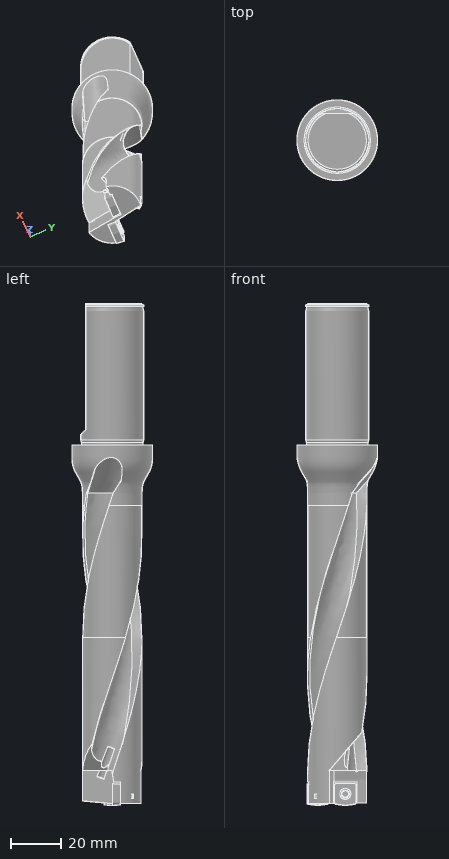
import cadquery as cq
import math

TOTAL_LENGTH = 199.0

SHANK_RADIUS = 12.5
SHANK_END_RADIUS = 11.5
SHANK_END_CHAMFER = 0.5
END_GROOVE_START = 1.2
END_GROOVE_FLOOR_END = 1.8
END_GROOVE_STOP = 3.0
GROOVE_RADIUS = 24.5 / 2
SHANK_LENGTH = 56.0
FLAT_DISTANCE = 10.5
FLAT_GAP = 4.0
FLAT_RUNOUT = SHANK_RADIUS - FLAT_DISTANCE
UNDERCUT_OUTER_RADIUS = 13.1
UNDERCUT_LENGTH = 1.8
UNDERCUT_DEPTH = 0.4

COLLAR_RADIUS = 32.0 / 2
COLLAR_TOP = TOTAL_LENGTH - SHANK_LENGTH
COLLAR_RIM = 4.8
COLLAR_BLEND_LENGTH = 14.5
BLEND_FULLNESS = 0.55

BODY_RADIUS = 23.7 / 2
RELIEF_RADIUS = 23.5 / 2
RELIEF_BOTTOM = 66.7
RELIEF_TOP = 119.0
BODY_BOTTOM = 0.8

FLUTE_HALF_WIDTH = 6.2
FLUTE_FLOOR = 4.4
FLUTE_LEADING_DEPTH = 9.0
FLUTE_CREASE_DEPTH = 5.8
FLUTE_CREASE_OFFSET = 5.4
FLUTE_TWIST = 1.633
FLUTE_ANGLE_AT_TIP = 129.1
FLUTE_BOTTOM = 13.0
FLUTE_TOP = 124.0
FLUTE_EXIT_HEIGHT = 12.0
FLUTE_EXIT_RADIAL = 1.3
FLUTE_EXIT_TANGENTIAL = 1.4
OUTSIDE = 23.9

GASH_TOP = 14.0
GASH_RAMP_BOTTOM = 10.3
GASH_RAMP_DEPTH = 0.5
GASH_WALL_EDGE = -3.2
INNER_GASH_FLOOR = 2.4
INNER_GASH_WALL_ROOT = -1.2
OUTER_GASH_FLOOR = 0.4
OUTER_GASH_WALL_EDGE = 1.2
OUTER_GASH_WALL_ROOT = 3.2
RUNOUT_TOP = 28.9
RUNOUT_TOP_X = 9.5
RUNOUT_FLOOR = -1.5
END_RELIEF_ANGLE = 5.0

INSERT_WIDTH = 8.5
INSERT_HEIGHT = 8.2
INSERT_THICKNESS = 3.2
INSERT_POINT = 0.5
INSERT_CORNER = 0.5
INSERT_TAPER = 5.0
INNER_INSERT_X = 3.2
OUTER_INSERT_X = 7.8
POCKET_GAP = 0.5
INSERT_SINK_DIAMETER = 4.4
INSERT_SINK_DEPTH = 1.0
INSERT_HOLE_DIAMETER = 3.2
SCREW_HOLE_DIAMETER = 2.5
SCREW_HOLE_DEPTH = 3.2

COOLANT_DIAMETER = 3.2
COOLANT_LOW = cq.Vector(2.8, -4.8, 11.0)
COOLANT_HIGH = cq.Vector(5.2, -0.5, 22.9)

MARK_ANGLE = 223.0
MARK_WIDTH = 0.8
MARK_HEIGHT = 1.8
MARK_DEPTH = 0.5
MARK_Z = 3.8


def half_turn(shape):
    return shape.rotate((0, 0, 0), (0, 0, 1), 180)


def make_blank():
    """Turned blank: body, collar and shank as one profile revolved about Z."""
    rim_bottom = COLLAR_TOP - COLLAR_RIM
    blend_bottom = rim_bottom - COLLAR_BLEND_LENGTH
    handle = BLEND_FULLNESS * COLLAR_BLEND_LENGTH
    return (
        cq.Workplane("XZ")
        .moveTo(0, BODY_BOTTOM)
        .lineTo(BODY_RADIUS, BODY_BOTTOM)
        .lineTo(BODY_RADIUS, RELIEF_BOTTOM)
        .lineTo(RELIEF_RADIUS, RELIEF_BOTTOM)
        .lineTo(RELIEF_RADIUS, RELIEF_TOP)
        .lineTo(BODY_RADIUS, RELIEF_TOP)
        .lineTo(BODY_RADIUS, blend_bottom)
        .bezier(
            [
                (BODY_RADIUS, blend_bottom + handle),
                (COLLAR_RADIUS, rim_bottom - handle),
                (COLLAR_RADIUS, rim_bottom),
            ],
            includeCurrent=True,
        )
        .lineTo(COLLAR_RADIUS, COLLAR_TOP)
        .lineTo(UNDERCUT_OUTER_RADIUS, COLLAR_TOP)
        .lineTo(GROOVE_RADIUS, COLLAR_TOP - UNDERCUT_DEPTH)
        .lineTo(GROOVE_RADIUS, COLLAR_TOP + UNDERCUT_LENGTH / 2)
        .lineTo(SHANK_RADIUS, COLLAR_TOP + UNDERCUT_LENGTH)
        .lineTo(SHANK_RADIUS, TOTAL_LENGTH - END_GROOVE_STOP)
        .lineTo(GROOVE_RADIUS, TOTAL_LENGTH - END_GROOVE_FLOOR_END)
        .lineTo(GROOVE_RADIUS, TOTAL_LENGTH - END_GROOVE_START)
        .lineTo(SHANK_RADIUS, TOTAL_LENGTH - END_GROOVE_START)
        .lineTo(SHANK_RADIUS, TOTAL_LENGTH - SHANK_END_CHAMFER)
        .lineTo(SHANK_END_RADIUS, TOTAL_LENGTH)
        .lineTo(0, TOTAL_LENGTH)
        .close()
        .revolve(360, (0, 0, 0), (0, 1, 0))
    )


def make_shank_flat():
    """Cutter for the clamping flat, with a 45 degree run-out at its lower end."""
    flat_bottom = COLLAR_TOP + FLAT_GAP
    return (
        cq.Workplane("YZ")
        .moveTo(FLAT_DISTANCE, TOTAL_LENGTH)
        .lineTo(FLAT_DISTANCE, flat_bottom + FLAT_RUNOUT)
        .lineTo(FLAT_DISTANCE + FLAT_RUNOUT, flat_bottom)
        .lineTo(FLAT_DISTANCE + FLAT_RUNOUT, TOTAL_LENGTH)
        .close()
        .extrude(SHANK_RADIUS, both=True)
    )


def flute_section(height, angle):
    """Open slot across the body: rounded floor and leading side, flat trailing wall."""
    return (
        cq.Workplane("XY")
        .moveTo(OUTSIDE, -FLUTE_HALF_WIDTH)
        .lineTo(FLUTE_LEADING_DEPTH, -FLUTE_HALF_WIDTH)
        .threePointArc((FLUTE_FLOOR, 0), (FLUTE_CREASE_DEPTH, FLUTE_CREASE_OFFSET))
        .lineTo(BODY_RADIUS, FLUTE_HALF_WIDTH)
        .lineTo(OUTSIDE, FLUTE_HALF_WIDTH)
        .close()
        .val()
        .rotate(cq.Vector(0, 0, 0), cq.Vector(0, 0, 1), angle)
        .translate(cq.Vector(0, 0, height))
    )


def make_flute():
    """Helical slot, followed by a straight exit that climbs out through the collar."""
    twist = FLUTE_TWIST * (FLUTE_TOP - FLUTE_BOTTOM)
    start_angle = FLUTE_ANGLE_AT_TIP + FLUTE_TWIST * FLUTE_BOTTOM
    lower_section = flute_section(FLUTE_BOTTOM, start_angle)
    upper_section = flute_section(FLUTE_TOP, start_angle + twist)
    helix = cq.Solid.extrudeLinearWithRotation(
        lower_section,
        [],
        cq.Vector(0, 0, FLUTE_BOTTOM),
        cq.Vector(0, 0, FLUTE_TOP - FLUTE_BOTTOM),
        twist,
    )
    exit_path = (
        cq.Workplane("XY")
        .transformed(rotate=(0, 0, start_angle + twist))
        .plane.toWorldCoords((FLUTE_EXIT_RADIAL, FLUTE_EXIT_TANGENTIAL, 2))
    ) * FLUTE_EXIT_HEIGHT
    straight = cq.Solid.extrudeLinear(upper_section, [], exit_path)
    return cq.Workplane(helix), cq.Workplane(straight)


def make_gash(floor, wall_edge, wall_root):
    """Open corner at the tip, facing -Y, with a sloping run-out into the flute."""
    corner = (
        cq.Workplane("XY")
        .polyline([(wall_edge, -BODY_RADIUS), (wall_root, floor), (OUTSIDE, floor), (OUTSIDE, -BODY_RADIUS)])
        .close()
        .extrude(GASH_TOP)
    )
    ramp = (
        cq.Workplane("YZ")
        .polyline([(floor, GASH_RAMP_BOTTOM), (floor, GASH_TOP), (floor - GASH_RAMP_DEPTH, GASH_TOP)])
        .close()
        .extrude(OUTSIDE, both=True)
    )
    runout_slope = (RUNOUT_TOP - GASH_TOP) / (RUNOUT_TOP_X - GASH_WALL_EDGE)
    runout_end = GASH_TOP + runout_slope * (OUTSIDE - GASH_WALL_EDGE)
    runout = (
        cq.Workplane("XZ", origin=(0, RUNOUT_FLOOR, 0))
        .polyline([(wall_edge, GASH_TOP), (OUTSIDE, runout_end), (OUTSIDE, GASH_TOP)])
        .close()
        .extrude(OUTSIDE)
    )
    return corner.cut(ramp).union(runout)


def make_insert():
    """Pointed square insert, rake face on y = 0, thickness toward +Y, centred on x = 0."""
    half = INSERT_WIDTH / 2
    insert = (
        cq.Workplane("XZ")
        .polyline(
            [
                (-half, INSERT_POINT),
                (0, 0),
                (half, INSERT_POINT),
                (half, INSERT_POINT + INSERT_HEIGHT),
                (-half, INSERT_POINT + INSERT_HEIGHT),
            ]
        )
        .close()
        .extrude(-INSERT_THICKNESS, taper=INSERT_TAPER)
    )
    for side in (-half, half):
        corners = cq.selectors.BoxSelector(
            (side - half / 2, INSERT_THICKNESS / 4, 0),
            (side + half / 2, INSERT_THICKNESS * 3 / 4, OUTSIDE),
        )
        insert = insert.edges(corners).fillet(INSERT_CORNER)
    return insert


def insert_hole():
    center_z = INSERT_POINT + INSERT_HEIGHT / 2
    face = cq.Workplane("XZ", origin=(0, 0, center_z))
    return (
        face.circle(INSERT_HOLE_DIAMETER / 2)
        .extrude(-INSERT_THICKNESS)
        .union(
            face.circle(INSERT_SINK_DIAMETER / 2)
            .workplane(offset=-INSERT_SINK_DEPTH)
            .circle(INSERT_HOLE_DIAMETER / 2)
            .loft()
        )
    )


def make_pocket():
    """Seat for an insert centred on x = 0, with clearance at its sides and top, and a screw hole."""
    width = INSERT_WIDTH + POCKET_GAP
    height = INSERT_POINT + INSERT_HEIGHT + POCKET_GAP
    seat = cq.Workplane("XY").box(width, INSERT_THICKNESS, height, centered=(True, False, False))
    screw_hole = (
        cq.Workplane("XZ", origin=(0, INSERT_THICKNESS, INSERT_POINT + INSERT_HEIGHT / 2))
        .circle(SCREW_HOLE_DIAMETER / 2)
        .extrude(-SCREW_HOLE_DEPTH)
    )
    return seat.union(screw_hole)


def place_inner(shape):
    return shape.translate((INNER_INSERT_X, 0, 0))


def place_outer(shape):
    return half_turn(shape.translate((OUTER_INSERT_X, 0, 0)))


def make_coolant_outlet():
    path = COOLANT_HIGH - COOLANT_LOW
    return cq.Workplane(cq.Solid.makeCylinder(COOLANT_DIAMETER / 2, path.Length, COOLANT_LOW, path))


def make_end_relief():
    """Wedge that lifts the end face of the +Y land away from the cutting edge."""
    rise = OUTSIDE * math.tan(math.radians(END_RELIEF_ANGLE))
    return (
        cq.Workplane("YZ")
        .polyline([(0, BODY_BOTTOM), (OUTSIDE, BODY_BOTTOM + rise), (OUTSIDE, BODY_BOTTOM)])
        .close()
        .extrude(OUTSIDE, both=True)
    )


def make_mark():
    return (
        cq.Workplane("XY")
        .box(2 * MARK_DEPTH, MARK_WIDTH, MARK_HEIGHT)
        .translate((BODY_RADIUS, 0, MARK_Z))
        .rotate((0, 0, 0), (0, 0, 1), MARK_ANGLE)
    )


def make_drill_body():
    body = make_blank().cut(make_shank_flat())
    coolant = make_coolant_outlet()
    for cutter in (*make_flute(), coolant):
        body = body.cut(cutter).cut(half_turn(cutter))
    inner_gash = make_gash(INNER_GASH_FLOOR, GASH_WALL_EDGE, INNER_GASH_WALL_ROOT)
    outer_gash = make_gash(OUTER_GASH_FLOOR, OUTER_GASH_WALL_EDGE, OUTER_GASH_WALL_ROOT)
    body = body.cut(inner_gash).cut(half_turn(outer_gash))
    body = body.cut(make_end_relief())
    pocket = make_pocket()
    return body.cut(place_inner(pocket)).cut(place_outer(pocket)).cut(make_mark())


insert = make_insert().cut(insert_hole())
inner_insert = place_inner(insert)
outer_insert = place_outer(insert)
drill_body = make_drill_body()

bodies = (drill_body, inner_insert, outer_insert)
result = cq.Compound.makeCompound([body.solids().val() for body in bodies])